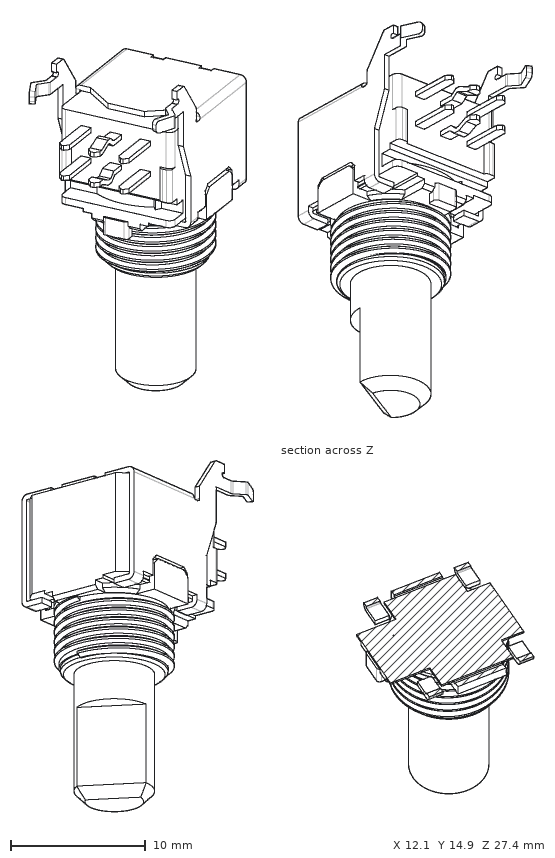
import cadquery as cq
import math

TOTAL_HEIGHT = 27.4

SHAFT_DIAMETER = 6.0
SHAFT_RADIUS = SHAFT_DIAMETER / 2
SHAFT_CHAMFER = 0.82
FLAT_DISTANCE = SHAFT_RADIUS / 2
FLAT_HEIGHT = 7.05
FLAT_ANGLE = 120

BUSHING_BOTTOM = 10.05
COLLAR_RADIUS = 4.0
COLLAR_TOP = 10.55
COLLAR_CHAMFER = 0.22
THREAD_ROOT_RADIUS = 4.1
THREAD_RADIUS = 4.47
THREAD_LENGTH = 4.5
THREAD_TURNS = 6
THREAD_START = 10.52
THREAD_START_ANGLE = 90
THREAD_ROOT_WIDTH = 0.65
THREAD_CREST_WIDTH = 0.16
THREAD_OVERLAP = 0.08

BASE_BOTTOM = 15.02
BASE_TOP = 15.67
BASE_CHAMFER = 0.3
BASE_DISC_RADIUS = 4.5
BASE_ARM_HALF_WIDTH = 2.03
TAB_HALF_SPAN = 5.37
TAB_THICKNESS = 0.47
TAB_TOP = 17.55
TAB_CORNER = 0.47
KEY_WIDTH = 2.1
KEY_BOTTOM = 14.25
KEY_BACK = -5.6
KEY_FRONT = -6.47
KEY_FRONT_FILLET = 0.27
KEY_BACK_FILLET = 0.15

HOUSING_HALF_WIDTH = 4.75
HOUSING_FRONT = -6.3
HOUSING_BACK = 4.88
HOUSING_FRONT_FILLET = 0.5
HOUSING_BACK_RADIUS = 6.27
LIP_FRONT = -5.53
RECESS_FRONT = -4.6
FOOT_TOP = 16.5
LIP_BOTTOM = 17.55
LIP_TOP = 18.05
FOOT_STEP_X = 2.75
FOOT_STEP_BOTTOM = 15.92
FOOT_CORE_HALF_WIDTH = 4.65
FOOT_CORE_FRONT = -3.01
PAD_TOP = 20.77
PAD_WIDTH = 1.01
PAD_FRONT = -6.55
PAD_FILLET = 0.33
ROTOR_RADIUS = 5.23
TOOTH_START_X = 2.3
TOOTH_PEAK_X = 2.65
TOOTH_PEAK_Y = -5.05
TOOTH_END_X = 2.93

BRACKET_HALF_WIDTH = 5.3
SHEET = 0.45
BEND_RADIUS = 0.52
BRACKET_TOP = 24.17
BRACKET_BOTTOM = 15.23
BRACKET_HALF_DEPTH = 4.38
FLANGE_INNER_X = 3.4
SIDE_NOTCH_HALF_WIDTH = 3.2
SIDE_NOTCH_TOP = 16.1
WINDOW_HALF_WIDTH = 2.08
WINDOW_TOP = 17.85
WINDOW_CORNER = 0.45
BACK_NOTCH_X = 2.03
BACK_NOTCH_WIDTH = 1.01
BACK_NOTCH_DEPTH = 0.4
TOP_FRONT = -2.88
TOP_TONGUE_FRONT = -4.69
TOP_TONGUE_ROOT_X = 3.97
TOP_TONGUE_TIP_X = 1.53
RELIEF_BOTTOM = 23.6
RELIEF_FILLET = 0.22

WING_BACK = -3.5
WING_SHOULDER = 24.8
WING_CREST_BACK = -5.45
WING_CREST_FRONT = -6.55
WING_TAPER_TOP = 22.47
WING_TAPER_BOTTOM = 19.55
CREST_FILLET = 0.27
HOOK_RELIEF_RADIUS = 0.2
HOOK_TOP = 26.33
HOOK_BOTTOM = 25.32
HOOK_BEND_Y = -7.48
HOOK_ELBOW_Y = -8.33
HOOK_TIP_Y = -9.86
HOOK_ELBOW_X = 5.84
HOOK_TIP_X = 5.15
HOOK_BEND_FILLET = 0.2
HOOK_TIP_FILLET = 0.33

PIN_PITCH = 2.5
PIN_ROW_CENTER = 21.25
PIN_THICKNESS = 0.38
PIN_TIP = -10.03
PIN_TIP_CHAMFER = 0.33
SIDE_PIN_WIDTH = 0.85
CENTER_PIN_WIDTH = 0.95
KINK_HEIGHT = 0.4
UPPER_KINK = (-7.55, -8.1, -8.38, -9.4)
LOWER_KINK = (-7.43, -7.92, -8.35, -9.23)


def block(x0, x1, y0, y1, z0, z1):
    """Box between two corners."""
    return cq.Workplane("XY").box(x1 - x0, y1 - y0, z1 - z0, centered=False).translate((x0, y0, z0))


def wide_block(half_width, y0, y1, z0, z1):
    """Box centred on X = 0."""
    return block(-half_width, half_width, y0, y1, z0, z1)


def prism(points, z0, z1):
    """Outline in X, Y raised from z0 to z1."""
    return cq.Workplane("XY", origin=(0, 0, z0)).polyline(points).close().extrude(z1 - z0)


def side_prism(points, x0, x1):
    """Outline in Y, Z extended from x0 to x1."""
    return cq.Workplane("YZ", origin=(x0, 0, 0)).polyline(points).close().extrude(x1 - x0)


def upright_cylinder(radius, z0, z1):
    """Cylinder on the shaft axis."""
    return cq.Workplane("XY", origin=(0, 0, z0)).circle(radius).extrude(z1 - z0)


def both_sides(body):
    """The body together with its mirror image across X = 0."""
    return body.union(body.mirror("YZ"))


def bent_strip(path, thickness):
    """Outline of a strip of constant thickness whose centreline follows the path, with mitred bends."""
    directions = []
    for (u0, v0), (u1, v1) in zip(path, path[1:]):
        directions.append(math.atan2(v1 - v0, u1 - u0))
    arriving = [directions[0]] + directions
    leaving = directions + [directions[-1]]
    left, right = [], []
    for (u, v), before, after in zip(path, arriving, leaving):
        normal = (before + after) / 2 + math.pi / 2
        reach = thickness / 2 / math.cos((after - before) / 2)
        du, dv = reach * math.cos(normal), reach * math.sin(normal)
        left.append((u + du, v + dv))
        right.append((u - du, v - dv))
    return left + right[::-1]


def make_shaft():
    shaft = upright_cylinder(SHAFT_RADIUS, 0, FLAT_HEIGHT)
    beyond_flat = block(FLAT_DISTANCE, 2 * SHAFT_RADIUS, -SHAFT_RADIUS, SHAFT_RADIUS, 0, FLAT_HEIGHT)
    shaft = shaft.cut(beyond_flat).faces("<Z").chamfer(SHAFT_CHAMFER)
    shaft = shaft.rotate((0, 0, 0), (0, 0, 1), FLAT_ANGLE)
    return shaft.union(upright_cylinder(SHAFT_RADIUS, FLAT_HEIGHT, BUSHING_BOTTOM))


def make_bushing():
    collar = upright_cylinder(COLLAR_RADIUS, BUSHING_BOTTOM, COLLAR_TOP).faces("<Z").chamfer(COLLAR_CHAMFER)
    bushing = collar.union(upright_cylinder(THREAD_ROOT_RADIUS, COLLAR_TOP, BASE_TOP))
    root = THREAD_ROOT_RADIUS - THREAD_OVERLAP
    helix = cq.Wire.makeHelix(THREAD_LENGTH / THREAD_TURNS, THREAD_LENGTH, root)
    profile = [
        (root, -THREAD_ROOT_WIDTH / 2),
        (THREAD_RADIUS, -THREAD_CREST_WIDTH / 2),
        (THREAD_RADIUS, THREAD_CREST_WIDTH / 2),
        (root, THREAD_ROOT_WIDTH / 2),
    ]
    thread = cq.Workplane("XZ").polyline(profile).close().sweep(cq.Workplane(helix), isFrenet=True)
    thread = thread.rotate((0, 0, 0), (0, 0, 1), THREAD_START_ANGLE)
    return bushing.union(thread.translate((0, 0, THREAD_START)))


def make_base_plate():
    disc = upright_cylinder(BASE_DISC_RADIUS, BASE_BOTTOM, BASE_TOP).faces("<Z").chamfer(BASE_CHAMFER)
    arm = wide_block(BASE_ARM_HALF_WIDTH, HOUSING_FRONT, HOUSING_BACK, BASE_BOTTOM, BASE_TOP)
    plate = disc.union(arm.edges("<Z and |X").chamfer(BASE_CHAMFER))
    cross_arm = wide_block(TAB_HALF_SPAN, -BASE_ARM_HALF_WIDTH, BASE_ARM_HALF_WIDTH, BASE_BOTTOM, BASE_TOP)
    tab = block(TAB_HALF_SPAN - TAB_THICKNESS, TAB_HALF_SPAN,
                -BASE_ARM_HALF_WIDTH, BASE_ARM_HALF_WIDTH, BASE_BOTTOM, TAB_TOP)
    tab = tab.edges(">Z and |X").chamfer(TAB_CORNER)
    key = wide_block(KEY_WIDTH / 2, KEY_FRONT, KEY_BACK, KEY_BOTTOM, BASE_TOP)
    key = key.edges("<Y and |Z").fillet(KEY_FRONT_FILLET)
    key = key.edges(">Y and |Z").fillet(KEY_BACK_FILLET)
    return plate.union(cross_arm).union(both_sides(tab)).union(key)


def make_housing():
    housing_top = BRACKET_TOP - SHEET
    front = wide_block(HOUSING_HALF_WIDTH, HOUSING_FRONT, 0, BASE_TOP, housing_top)
    back = wide_block(HOUSING_HALF_WIDTH, 0, HOUSING_BACK, BASE_TOP, housing_top)
    back = back.intersect(upright_cylinder(HOUSING_BACK_RADIUS, BASE_TOP, housing_top))
    housing = front.edges("<Y and |Z").fillet(HOUSING_FRONT_FILLET).union(back)
    housing = housing.cut(wide_block(HOUSING_HALF_WIDTH, HOUSING_FRONT, LIP_FRONT, LIP_BOTTOM, LIP_TOP))
    housing = housing.cut(wide_block(HOUSING_HALF_WIDTH, HOUSING_FRONT, RECESS_FRONT, FOOT_TOP, LIP_BOTTOM))
    foot_step = block(FOOT_STEP_X, HOUSING_HALF_WIDTH, HOUSING_FRONT, HOUSING_BACK,
                      BASE_TOP, FOOT_STEP_BOTTOM)
    core = wide_block(FOOT_CORE_HALF_WIDTH, FOOT_CORE_FRONT, -FOOT_CORE_FRONT, BASE_TOP, FOOT_STEP_BOTTOM)
    housing = housing.cut(both_sides(foot_step)).union(core)
    pad = block(HOUSING_HALF_WIDTH - PAD_WIDTH, HOUSING_HALF_WIDTH, PAD_FRONT, LIP_FRONT, LIP_TOP, PAD_TOP)
    return housing.union(both_sides(pad.edges("<Y and |Z").fillet(PAD_FILLET)))


def make_rotor():
    """Drum seen in the recess, with one pointed tooth beside its arc."""
    drum = upright_cylinder(ROTOR_RADIUS, FOOT_TOP, LIP_BOTTOM)
    drum = drum.intersect(wide_block(ROTOR_RADIUS, -ROTOR_RADIUS, RECESS_FRONT, FOOT_TOP, LIP_BOTTOM))
    tooth = [(TOOTH_START_X, RECESS_FRONT), (TOOTH_PEAK_X, TOOTH_PEAK_Y), (TOOTH_END_X, RECESS_FRONT)]
    return drum.union(prism(tooth, FOOT_TOP, LIP_BOTTOM))


def make_bracket():
    inner_half_width = BRACKET_HALF_WIDTH - SHEET
    sleeve = wide_block(BRACKET_HALF_WIDTH, -BRACKET_HALF_DEPTH, BRACKET_HALF_DEPTH,
                        BRACKET_BOTTOM, BRACKET_TOP)
    sleeve = sleeve.edges("|Y").fillet(BEND_RADIUS)
    bore = wide_block(inner_half_width, -BRACKET_HALF_DEPTH, BRACKET_HALF_DEPTH,
                      BRACKET_BOTTOM + SHEET, BRACKET_TOP - SHEET)
    sleeve = sleeve.cut(bore.edges("|Y").fillet(BEND_RADIUS - SHEET))
    sleeve = sleeve.cut(wide_block(FLANGE_INNER_X, -BRACKET_HALF_DEPTH, BRACKET_HALF_DEPTH,
                                   BRACKET_BOTTOM, BRACKET_BOTTOM + SHEET))
    sleeve = sleeve.cut(wide_block(BRACKET_HALF_WIDTH, -SIDE_NOTCH_HALF_WIDTH, SIDE_NOTCH_HALF_WIDTH,
                                   BRACKET_BOTTOM, SIDE_NOTCH_TOP))
    window = wide_block(BRACKET_HALF_WIDTH, -WINDOW_HALF_WIDTH, WINDOW_HALF_WIDTH,
                        SIDE_NOTCH_TOP, WINDOW_TOP)
    sleeve = sleeve.cut(window.edges(">Z and |X").chamfer(WINDOW_CORNER))
    relief = wide_block(BRACKET_HALF_WIDTH, WING_BACK, TOP_FRONT, RELIEF_BOTTOM, BRACKET_TOP)
    sleeve = sleeve.cut(relief.edges("<Z and |X").fillet(RELIEF_FILLET))
    sleeve = sleeve.cut(wide_block(inner_half_width, WING_BACK, TOP_FRONT, RELIEF_BOTTOM, BRACKET_TOP))
    sleeve = sleeve.cut(wide_block(BRACKET_HALF_WIDTH, -BRACKET_HALF_DEPTH, WING_BACK,
                                   RELIEF_BOTTOM, BRACKET_TOP))
    tongue = [
        (-TOP_TONGUE_ROOT_X, TOP_FRONT),
        (-TOP_TONGUE_TIP_X, TOP_TONGUE_FRONT),
        (TOP_TONGUE_TIP_X, TOP_TONGUE_FRONT),
        (TOP_TONGUE_ROOT_X, TOP_FRONT),
    ]
    bracket = sleeve.union(prism(tongue, BRACKET_TOP - SHEET, BRACKET_TOP))
    for x in (-BACK_NOTCH_X, BACK_NOTCH_X):
        bracket = bracket.cut(block(x - BACK_NOTCH_WIDTH / 2, x + BACK_NOTCH_WIDTH / 2,
                                    BRACKET_HALF_DEPTH - BACK_NOTCH_DEPTH, BRACKET_HALF_DEPTH,
                                    BRACKET_TOP - SHEET, BRACKET_TOP))
    return bracket.union(both_sides(make_wing())).union(both_sides(make_hook()))


def make_wing():
    outline = [
        (WING_BACK, WING_TAPER_BOTTOM),
        (WING_BACK, WING_SHOULDER),
        (WING_CREST_BACK, TOTAL_HEIGHT),
        (WING_CREST_FRONT, TOTAL_HEIGHT),
        (WING_CREST_FRONT, HOOK_BOTTOM),
        (LIP_FRONT, HOOK_BOTTOM),
        (LIP_FRONT, WING_TAPER_TOP),
        (-BRACKET_HALF_DEPTH, WING_TAPER_BOTTOM),
    ]
    inner_x = BRACKET_HALF_WIDTH - SHEET
    wing = side_prism(outline, inner_x, BRACKET_HALF_WIDTH)
    wing = wing.faces(">Z").edges(">Y").fillet(CREST_FILLET)
    relief_y = WING_CREST_FRONT + HOOK_RELIEF_RADIUS / 2
    relief_z = HOOK_TOP + HOOK_RELIEF_RADIUS
    relief = cq.Workplane("YZ", origin=(inner_x, relief_y, relief_z))
    return wing.cut(relief.circle(HOOK_RELIEF_RADIUS).extrude(SHEET))


def make_hook():
    middle_x = BRACKET_HALF_WIDTH - SHEET / 2
    path = [
        (middle_x, WING_CREST_FRONT),
        (middle_x, HOOK_BEND_Y),
        (HOOK_ELBOW_X, HOOK_ELBOW_Y),
        (HOOK_TIP_X, HOOK_TIP_Y),
    ]
    hook = prism(bent_strip(path, SHEET), HOOK_BOTTOM, HOOK_TOP)
    around_bends = cq.selectors.BoxSelector(
        (0, HOOK_ELBOW_Y - SHEET, HOOK_BOTTOM), (HOOK_ELBOW_X + 2 * SHEET, HOOK_BEND_Y + SHEET, HOOK_TOP))
    hook = hook.edges("|Z").edges(around_bends).fillet(HOOK_BEND_FILLET)
    return hook.faces("<Y").edges("not |Z").fillet(HOOK_TIP_FILLET)


def pin_outline(x, width):
    """Pointed outline that limits a pin in plan."""
    return [
        (x - width / 2, LIP_FRONT),
        (x - width / 2, PIN_TIP + PIN_TIP_CHAMFER),
        (x - width / 2 + PIN_TIP_CHAMFER, PIN_TIP),
        (x + width / 2 - PIN_TIP_CHAMFER, PIN_TIP),
        (x + width / 2, PIN_TIP + PIN_TIP_CHAMFER),
        (x + width / 2, LIP_FRONT),
    ]


def make_pin_row(z, kink, kink_height):
    half = PIN_THICKNESS / 2
    path = [
        (LIP_FRONT, z),
        (kink[0], z),
        (kink[1], z + kink_height),
        (kink[2], z + kink_height),
        (kink[3], z),
        (PIN_TIP, z),
    ]
    row = side_prism(bent_strip(path, PIN_THICKNESS), -CENTER_PIN_WIDTH / 2, CENTER_PIN_WIDTH / 2)
    row = row.intersect(prism(pin_outline(0, CENTER_PIN_WIDTH), LIP_TOP, BRACKET_TOP))
    for x in (-PIN_PITCH, PIN_PITCH):
        row = row.union(prism(pin_outline(x, SIDE_PIN_WIDTH), z - half, z + half))
    return row


upper_pins = make_pin_row(PIN_ROW_CENTER + PIN_PITCH / 2, UPPER_KINK, KINK_HEIGHT)
lower_pins = make_pin_row(PIN_ROW_CENTER - PIN_PITCH / 2, LOWER_KINK, -KINK_HEIGHT)

result = make_housing().union(make_rotor()).union(make_base_plate())
result = result.union(make_bracket()).union(upper_pins).union(lower_pins)
result = result.union(make_shaft()).union(make_bushing())